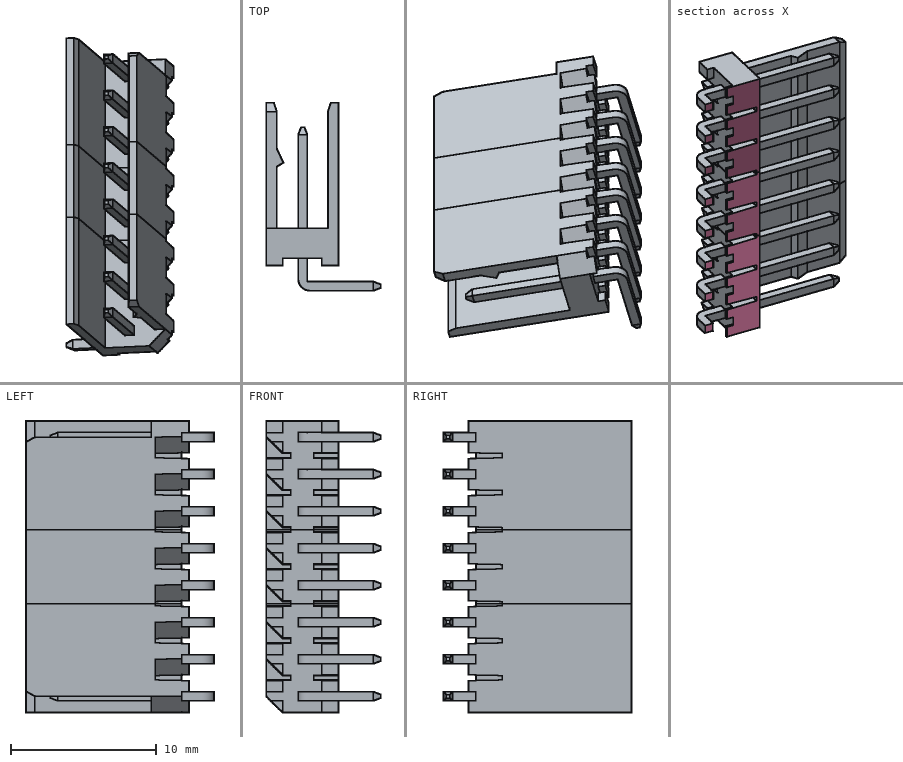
import cadquery as cq


header_length = 20.05
pins_per_module = [3, 2, 3]
end_to_pin = 1.12
pin_count = sum(pins_per_module)
pitch = (header_length - 2 * end_to_pin) / (pin_count - 1)

housing_width = 4.99
wall_end_y = 11.2
base_back_y = 2.59
wall_thickness = 0.75
tip_bevel_width = 0.2
tip_bevel_length = 0.6

foot_width = 1.16
foot_height = 0.5
foot_gap = 0.6

barb_reach = 0.46
barb_start_y = 6.8
barb_peak_y = 7.07
barb_end_y = 8.05

wall_corner_length = 0.62
wall_corner_height = 0.35

slot_depth = 2.3
slot_length = 1.7
slot_width = pitch - 2 * end_to_pin
slope_width = 1.15
slot_draft = 0.05

pin_size = 0.65
pin_center_x = 2.53
pin_bend_radius = 0.82
pin_front_y = -1.72
pin_back_y = 9.52
pin_side_x = 7.9
pin_tip_length = 0.52
pin_tip_size = 0.25


def pin_height(index):
    """Z of a pin's centre line, counted from the bottom."""
    return end_to_pin + index * pitch


def gap_height(index):
    """Z midway between a pin and the one above it."""
    return pin_height(index) + pitch / 2


def housing_block(bottom, top):
    """Channel section with two walls, the latch barb and the two feet."""
    far_inner_x = housing_width - wall_thickness
    bevel_y = wall_end_y - tip_bevel_length
    outline = [
        (0, 0),
        (foot_width, 0),
        (foot_width, foot_height),
        (housing_width - foot_width, foot_height),
        (housing_width - foot_width, 0),
        (housing_width, 0),
        (housing_width, wall_end_y),
        (far_inner_x + tip_bevel_width, wall_end_y),
        (far_inner_x, bevel_y),
        (far_inner_x, base_back_y),
        (wall_thickness, base_back_y),
        (wall_thickness, barb_start_y),
        (wall_thickness + barb_reach, barb_peak_y),
        (wall_thickness, barb_end_y),
        (wall_thickness, bevel_y),
        (wall_thickness - tip_bevel_width, wall_end_y),
        (0, wall_end_y),
    ]
    return cq.Workplane("XY", origin=(0, 0, bottom)).polyline(outline).close().extrude(top - bottom)


def foot_gap_cutter(index):
    """Gap through both feet, in line with a pin."""
    gap = cq.Workplane("XY").box(housing_width, foot_height, foot_gap, centered=(False, False, True))
    return gap.translate((0, 0, pin_height(index)))


def notch_outline(index, draft):
    """Slot on the latch side, opened upward by a slope that ends level with the pin above."""
    upper = gap_height(index) + slot_width / 2 + draft
    lower = gap_height(index) - slot_width / 2 - draft
    slope_top = pin_height(index + 1) + draft
    return [(0, lower), (slot_length, lower), (slot_length, upper), (slope_width, upper), (0, slope_top)]


def far_slot_outline(index, draft):
    """Plain slot on the far side."""
    upper = gap_height(index) + slot_width / 2 + draft
    lower = gap_height(index) - slot_width / 2 - draft
    inner_x = housing_width - slot_length
    return [(inner_x, lower), (housing_width, lower), (housing_width, upper), (inner_x, upper)]


def drafted_cutter(outline, index):
    """Cutter that narrows from the front of the feet to the bottom of the slot."""
    return (
        cq.Workplane("XZ")
        .polyline(outline(index, slot_draft))
        .close()
        .workplane(offset=-slot_depth)
        .polyline(outline(index, 0))
        .close()
        .loft(ruled=True)
    )


def wall_end_cutter():
    """Shortens the latch wall at the bottom end and bevels its corner."""
    outline = [
        (base_back_y, 0),
        (base_back_y, end_to_pin),
        (wall_end_y - wall_corner_length, end_to_pin),
        (wall_end_y, end_to_pin + wall_corner_height),
        (wall_end_y, 0),
    ]
    return cq.Workplane("YZ").polyline(outline).close().extrude(wall_thickness + barb_reach)


def base_corner_cutter():
    """Slope along the latch-side edge at the bottom end of the base."""
    outline = [(0, 0), (slope_width, 0), (0, end_to_pin)]
    return cq.Workplane("XZ").polyline(outline).close().extrude(-base_back_y)


def tapered_tip(plane):
    """Pyramid-shaped pin end standing on the given plane."""
    return (
        cq.Workplane(plane)
        .rect(pin_size, pin_size)
        .workplane(offset=pin_tip_length)
        .rect(pin_tip_size, pin_tip_size)
        .loft(ruled=True)
    )


def bent_pin(index):
    """Square pin with a right-angle bend and two tapered ends."""
    height = pin_height(index)
    left = pin_center_x - pin_size / 2
    right = pin_center_x + pin_size / 2
    leg_back_y = pin_front_y + pin_size
    shank_end_y = pin_back_y - pin_tip_length
    leg_end_x = pin_side_x - pin_tip_length
    arm = (
        cq.Workplane("XY", origin=(0, 0, height - pin_size / 2))
        .moveTo(left, shank_end_y)
        .lineTo(left, pin_front_y + pin_bend_radius)
        .radiusArc((left + pin_bend_radius, pin_front_y), -pin_bend_radius)
        .lineTo(leg_end_x, pin_front_y)
        .lineTo(leg_end_x, leg_back_y)
        .lineTo(right, leg_back_y)
        .lineTo(right, shank_end_y)
        .close()
        .extrude(pin_size)
    )
    shank_tip = tapered_tip(cq.Plane((pin_center_x, shank_end_y, height), (1, 0, 0), (0, 1, 0)))
    leg_tip = tapered_tip(cq.Plane((leg_end_x, pin_front_y + pin_size / 2, height), (0, 1, 0), (1, 0, 0)))
    return arm.union(shank_tip).union(leg_tip)


def header_module(first_pin, count):
    """One housing module together with the pins moulded into it."""
    next_pin = first_pin + count
    at_bottom = first_pin == 0
    at_top = next_pin == pin_count
    bottom = 0 if at_bottom else gap_height(first_pin - 1)
    top = header_length if at_top else gap_height(next_pin - 1)

    body = housing_block(bottom, top)
    for index in range(first_pin, next_pin):
        body = body.cut(foot_gap_cutter(index))
    first_gap = max(first_pin - 1, 0)
    last_gap = min(next_pin - 1, pin_count - 2)
    for index in range(first_gap, last_gap + 1):
        body = body.cut(drafted_cutter(notch_outline, index))
        body = body.cut(drafted_cutter(far_slot_outline, index))
    if at_bottom:
        body = body.cut(wall_end_cutter()).cut(base_corner_cutter())
    if at_top:
        body = body.cut(wall_end_cutter().mirror("XY", (0, 0, header_length / 2)))
    for index in range(first_pin, next_pin):
        body = body.union(bent_pin(index))
    return body


modules = []
first_pin = 0
for count in pins_per_module:
    modules.append(header_module(first_pin, count))
    first_pin += count

result = cq.Compound.makeCompound([module.val() for module in modules])